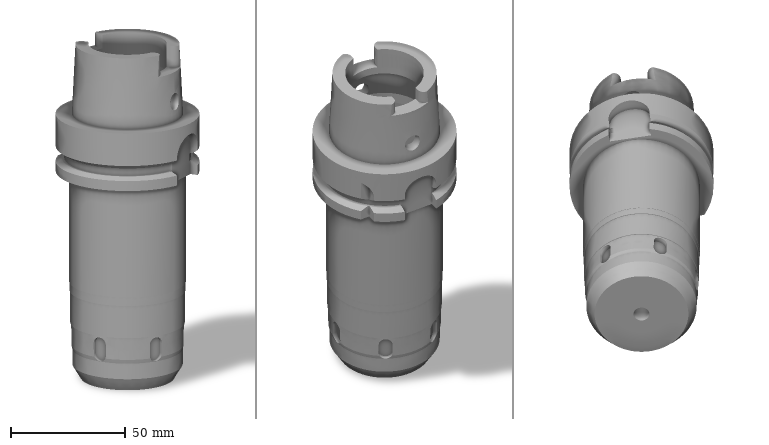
import cadquery as cq
import math

total_height = 152.0

taper_length = 31.8
taper_top_radius = 22.8
taper_base_radius = 24.3

flange_radius = 31.5
flange_height = 26.1
groove_radius = 27.7
groove_lip_radius = 28.9
groove_upper_edge = 14.7
groove_upper_root = 16.5
groove_lower_root = 20.2
groove_lower_edge = 21.6

body_radius = 25.5
body_end = 43.8
body_step_radius = 25.4
body_step_end = 39.8
collar_radius = 25.1
collar_end = 25.1
nut_top_radius = 24.8
nut_bottom_radius = 24.6
nut_bevel_start = 15.0
nut_bevel_end = 13.2
nose_top_radius = 24.2
nose_bevel_start = 6.1
nose_bevel_radius = 20.5

mouth_radius = 17.2
mouth_depth = 13.4
chamber_radius = 19.9
chamber_depth = 26.1
counterbore_radius = 9.1
counterbore_depth = 6.1
through_hole_radius = 3.5

drive_slot_width = 12.2
drive_slot_corner_radius = 3.0
drive_slot_flat = 21.0
left_drive_slot_depth = 6.1
right_drive_slot_depth = 9.7

cross_hole_radius = 3.8
cross_hole_depth = 23.0

keyway_floor = 26.6
keyway_top_depth = 4.9
left_keyway_width = 16.1
right_keyway_width = 18.2
notch_offset = 20.0

spanner_slot_count = 6
spanner_slot_width = 6.1
spanner_slot_height = 11.0
spanner_slot_center = 18.8
spanner_slot_floor = 22.5

flange_top = total_height - taper_length
flange_bottom = flange_top - flange_height


def turned_body():
    """Outer shape, revolved from its half profile (radius, height)."""
    profile = [
        (0, 0),
        (nose_bevel_radius, 0),
        (nose_top_radius, nose_bevel_start),
        (nose_top_radius, nut_bevel_end),
        (nut_bottom_radius, nut_bevel_start),
        (nut_top_radius, collar_end),
        (collar_radius, collar_end),
        (collar_radius, body_step_end),
        (body_step_radius, body_step_end),
        (body_step_radius, body_end),
        (body_radius, body_end),
        (body_radius, flange_bottom),
        (flange_radius, flange_bottom),
        (flange_radius, flange_top - groove_lower_edge),
        (groove_lip_radius, flange_top - groove_lower_root),
        (groove_radius, flange_top - groove_lower_root),
        (groove_radius, flange_top - groove_upper_root),
        (groove_lip_radius, flange_top - groove_upper_root),
        (flange_radius, flange_top - groove_upper_edge),
        (flange_radius, flange_top),
        (taper_base_radius, flange_top),
        (taper_top_radius, total_height),
        (0, total_height),
    ]
    return cq.Workplane("XZ").polyline(profile).close().revolve(360, (0, 0), (0, 1))


def stepped_bore():
    """Clamping bore: mouth, wider chamber ending in a cone, counterbore and through hole."""
    chamber_top = total_height - mouth_depth
    cone_start = total_height - chamber_depth
    bore_floor = cone_start - (chamber_radius - mouth_radius)
    counterbore_floor = bore_floor - counterbore_depth
    profile = [
        (0, 0),
        (through_hole_radius, 0),
        (through_hole_radius, counterbore_floor),
        (counterbore_radius, counterbore_floor),
        (counterbore_radius, bore_floor),
        (mouth_radius, bore_floor),
        (chamber_radius, cone_start),
        (chamber_radius, chamber_top),
        (mouth_radius, chamber_top),
        (mouth_radius, total_height),
        (0, total_height),
    ]
    return cq.Workplane("XZ").polyline(profile).close().revolve(360, (0, 0), (0, 1))


def drive_slot(side, depth):
    """Slot through the rim on one side (-1 or 1 along X), flaring outwards around rounded corners."""
    half_width = drive_slot_width / 2
    corner = drive_slot_corner_radius
    corner_start = drive_slot_flat - corner
    diagonal = corner * math.sqrt(0.5)
    arc_middle = (corner_start + diagonal, half_width + corner - diagonal)
    flare = half_width + corner
    outer = flange_radius
    return (
        cq.Workplane("XY", origin=(0, 0, total_height - depth))
        .moveTo(0, -half_width)
        .lineTo(side * corner_start, -half_width)
        .threePointArc((side * arc_middle[0], -arc_middle[1]), (side * drive_slot_flat, -flare))
        .lineTo(side * drive_slot_flat, -outer)
        .lineTo(side * outer, -outer)
        .lineTo(side * outer, outer)
        .lineTo(side * drive_slot_flat, outer)
        .lineTo(side * drive_slot_flat, flare)
        .threePointArc((side * arc_middle[0], arc_middle[1]), (side * corner_start, half_width))
        .lineTo(0, half_width)
        .close()
        .extrude(depth)
    )


def cross_hole():
    """Radial hole along X through both walls of the taper."""
    return (
        cq.Workplane("YZ", origin=(-flange_radius, 0, total_height - cross_hole_depth))
        .circle(cross_hole_radius)
        .extrude(2 * flange_radius)
    )


def round_topped_cut(center_y, width, near_x, far_x):
    """Cut running along X between two positions, open at the flange bottom and round at its top."""
    radius = width / 2
    arc_top = flange_top - keyway_top_depth
    arc_base = arc_top - radius
    return (
        cq.Workplane("YZ", origin=(near_x, 0, 0))
        .moveTo(center_y - radius, flange_bottom)
        .lineTo(center_y - radius, arc_base)
        .threePointArc((center_y, arc_top), (center_y + radius, arc_base))
        .lineTo(center_y + radius, flange_bottom)
        .close()
        .extrude(far_x - near_x)
    )


def spanner_slot(angle):
    """Upright flat-floored slot in the nut at the given angle about the axis."""
    slot = (
        cq.Workplane("YZ", origin=(spanner_slot_floor, 0, spanner_slot_center))
        .slot2D(spanner_slot_height, spanner_slot_width, 90)
        .extrude(flange_radius - spanner_slot_floor)
    )
    return slot.rotate((0, 0, 0), (0, 0, 1), angle)


result = turned_body().cut(stepped_bore())

result = result.cut(drive_slot(-1, left_drive_slot_depth))
result = result.cut(drive_slot(1, right_drive_slot_depth))
result = result.cut(cross_hole())

result = result.cut(round_topped_cut(0, left_keyway_width, -flange_radius, -keyway_floor))
result = result.cut(round_topped_cut(0, right_keyway_width, keyway_floor, flange_radius))
notch_center = notch_offset + left_keyway_width / 2
result = result.cut(round_topped_cut(notch_center, left_keyway_width, -flange_radius, -notch_offset))

for index in range(spanner_slot_count):
    result = result.cut(spanner_slot(-90 + index * 360 / spanner_slot_count))